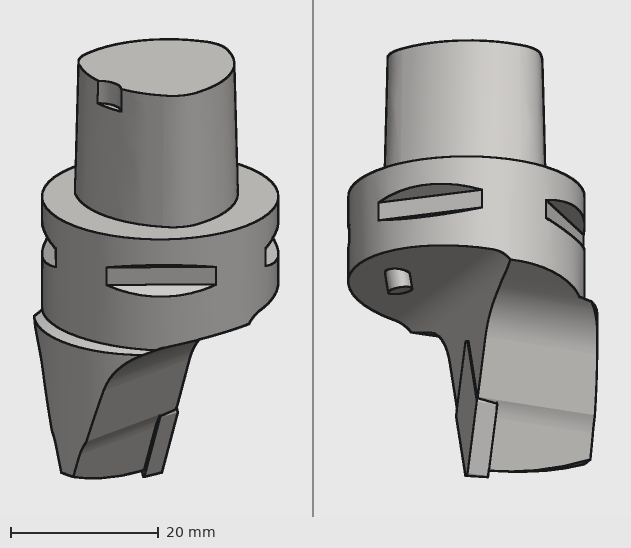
import cadquery as cq
import math


shank_height = 18.9
lobe_offset = 6.4
lobe_radius = 5.35
side_radius = 16.75
shank_taper = 1 / 40
key_radius = 3.1
key_reach = 8.85
key_depth = 3.25

flange_radius = 16.0
groove_floor_distance = 14.15
groove_z = -6.0
groove_floor_height = 2.55
groove_mouth_height = 4.6
groove_length = 23.6

tip_z = -40.1
blade_front_y = -0.2
overall_depth = 34.0
blade_back_y = flange_radius - overall_depth
blade_radius = 14.85
blade_axis_y = blade_back_y + blade_radius
ledge_z = -16.35
ledge_rise = 0.5
ledge_run = 2.0

underside_edge_z = -12.1
underside_slope = math.radians(5)
underside_fillet = 3.85

half_angle = math.radians(17.5)
wing_edge_z = -14.4
wing_inner_x = 12.2
wing_inner_z = -15.5
flank_top_z = -22.0
flank_bottom_z = -29.85
relief_top_z = -32.05
flank_apex_z = -40.25
relief_apex_z = -39.0
wing_radius = 9.85

heel_mid_y = -11.45
heel_mid_z = -37.6
heel_back_z = -35.4

insert_thickness = 3.2
insert_nose_radius = 0.4
insert_relief_angle = 5.0
insert_centre_z = -30.45

nozzle_diameter = 3.3
nozzle_end_y = 9.85
nozzle_end_z = -15.0
nozzle_tilt = math.radians(10)
nozzle_length = 4.7

margin = 5.9


def shank_section(height):
    inset = height * shank_taper
    small = lobe_radius - inset
    large = side_radius - inset

    def arc_point(lobe_angle, radius, angle):
        x = lobe_offset * math.cos(math.radians(lobe_angle)) + radius * math.cos(math.radians(angle))
        y = lobe_offset * math.sin(math.radians(lobe_angle)) + radius * math.sin(math.radians(angle))
        return x, y

    outline = cq.Workplane("XY").workplane(offset=height).moveTo(*arc_point(90, small, 60))
    for lobe in (90, 210, 330):
        next_lobe = lobe + 120
        side_centre = lobe - 120
        outline = outline.threePointArc(arc_point(lobe, small, lobe), arc_point(lobe, small, lobe + 30))
        outline = outline.threePointArc(
            arc_point(side_centre, large, lobe + 60), arc_point(next_lobe, small, next_lobe - 30)
        )
    return outline.wire().val()


def make_shank():
    wires = [shank_section(0), shank_section(shank_height)]
    shank = cq.Workplane(cq.Solid.makeLoft(wires, True))
    key = (
        cq.Workplane("XY")
        .workplane(offset=shank_height - key_depth)
        .center(0, -key_reach - key_radius)
        .circle(key_radius)
        .extrude(key_depth + margin)
    )
    return shank.cut(key)


def make_groove():
    """One groove cutter with sloping walls, on the +X side."""
    depth = flange_radius - groove_floor_distance
    wall_slope = (groove_mouth_height - groove_floor_height) / 2 / depth
    floor_half = groove_floor_height / 2
    outer_half = floor_half + (depth + margin) * wall_slope
    outer_x = flange_radius + margin
    return (
        cq.Workplane("XZ")
        .polyline([
            (groove_floor_distance, groove_z - floor_half),
            (outer_x, groove_z - outer_half),
            (outer_x, groove_z + outer_half),
            (groove_floor_distance, groove_z + floor_half),
        ])
        .close()
        .extrude(groove_length / 2, both=True)
    )


def make_round_stock():
    """Flange cylinder and the offset blade cylinder with its sloping ledge."""
    flange = cq.Workplane("XY").circle(flange_radius).extrude(ledge_z)
    blade = (
        cq.Workplane("XZ")
        .polyline([
            (0, tip_z),
            (blade_radius, tip_z),
            (blade_radius, ledge_z),
            (blade_radius - ledge_run, ledge_z + ledge_rise),
            (0, ledge_z + ledge_rise),
        ])
        .close()
        .revolve(360, (0, 0, 0), (0, 1, 0))
        .translate((0, blade_axis_y, 0))
    )
    return flange.union(blade)


def flank_x(z, apex_z):
    return (z - apex_z) * math.tan(half_angle)


def make_half_outline():
    """The +X half of the side outline, swept along Y."""
    wing_slope = (wing_edge_z - wing_inner_z) / (flange_radius - wing_inner_x)
    outer_x = flange_radius + margin
    outer_z = wing_edge_z + margin * wing_slope
    return (
        cq.Workplane("XZ")
        .moveTo(0, 0)
        .lineTo(0, relief_apex_z)
        .lineTo(flank_x(relief_top_z, relief_apex_z), relief_top_z)
        .tangentArcPoint((flank_x(flank_bottom_z, flank_apex_z), flank_bottom_z), relative=False)
        .lineTo(flank_x(flank_top_z, flank_apex_z), flank_top_z)
        .radiusArc((wing_inner_x, wing_inner_z), wing_radius)
        .lineTo(outer_x, outer_z)
        .lineTo(outer_x, 0)
        .close()
        .extrude(2 * flange_radius, both=True)
    )


def make_profile():
    """Outline along X: sloping underside, filleted blade front and curved heel."""
    outer_y = flange_radius + margin
    slope = math.tan(underside_slope)
    corner_z = underside_edge_z - (flange_radius - blade_front_y) * slope
    tangent = underside_fillet * math.tan((math.pi / 2 - underside_slope) / 2)
    fillet_y = blade_front_y + tangent * math.cos(underside_slope)
    fillet_z = corner_z + tangent * math.sin(underside_slope)
    return (
        cq.Workplane("YZ")
        .moveTo(outer_y, 0)
        .lineTo(outer_y, underside_edge_z + margin * slope)
        .lineTo(fillet_y, fillet_z)
        .tangentArcPoint((blade_front_y, corner_z - tangent), relative=False)
        .lineTo(blade_front_y, relief_apex_z)
        .threePointArc((heel_mid_y, heel_mid_z), (blade_back_y, heel_back_z))
        .lineTo(blade_back_y, 0)
        .close()
        .extrude(2 * flange_radius, both=True)
    )


def make_nozzle():
    axis = cq.Vector(0, math.sin(nozzle_tilt), math.cos(nozzle_tilt))
    end = cq.Vector(0, nozzle_end_y, nozzle_end_z)
    return cq.Workplane(cq.Solid.makeCylinder(nozzle_diameter / 2, nozzle_length, end, axis))


def make_insert():
    """Rhombic insert with its top face on Y = 0 and rounded corners."""
    nose_setback = insert_nose_radius * (1 / math.sin(half_angle) - 1)
    half_length = insert_centre_z - tip_z + nose_setback
    half_width = half_length * math.tan(half_angle)
    sharp_outline = cq.Wire.makePolygon(
        [
            cq.Vector(0, 0, insert_centre_z - half_length),
            cq.Vector(half_width, 0, insert_centre_z),
            cq.Vector(0, 0, insert_centre_z + half_length),
            cq.Vector(-half_width, 0, insert_centre_z),
        ],
        close=True,
    )
    outline = sharp_outline.fillet2D(insert_nose_radius, sharp_outline.Vertices())
    thickness = cq.Vector(0, -insert_thickness, 0)
    return cq.Workplane(cq.Solid.extrudeLinear(outline, [], thickness, insert_relief_angle))


def make_holder(insert):
    half = make_half_outline()
    outline = half.union(half.mirror("YZ"))
    holder = make_round_stock().intersect(outline).intersect(make_profile())
    for angle in (45, 135, 225, 315):
        holder = holder.cut(make_groove().rotate((0, 0, 0), (0, 0, 1), angle))
    return holder.union(make_shank()).union(make_nozzle()).cut(insert)


insert = make_insert()
holder = make_holder(insert)
result = cq.Compound.makeCompound([holder.val(), insert.val()])